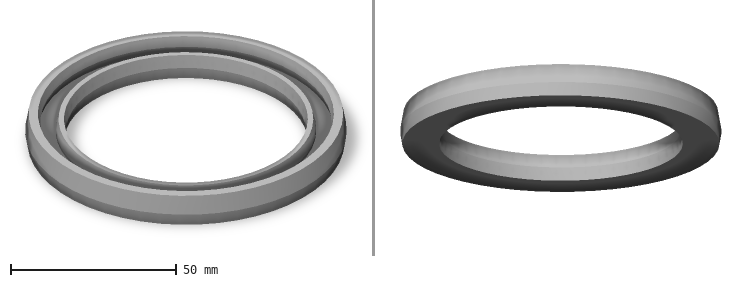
import cadquery as cq

height = 10.0
inner_lip_height = 8.2
edge_height = 4.0
groove_ridge_height = 6.6
floor_height = 3.9
inner_lip_base_height = 4.8

rim_radius = 97.3 / 2
rim_top_radius = 47.6
rim_bottom_radius = 48.0

groove_top_radius = 44.8
groove_ridge_radius = 44.1
groove_floor_radius = 44.8
inner_lip_base_radius = 78.8 / 2
inner_lip_top_radius = 38.5

bore_top_radius = 36.9
bore_ridge_radius = 36.2
bore_bottom_radius = 36.9

section = [
    (bore_bottom_radius, 0),
    (rim_bottom_radius, 0),
    (rim_radius, edge_height),
    (rim_top_radius, height),
    (groove_top_radius, height),
    (groove_ridge_radius, groove_ridge_height),
    (groove_floor_radius, floor_height),
    (inner_lip_base_radius, floor_height),
    (inner_lip_base_radius, inner_lip_base_height),
    (inner_lip_top_radius, inner_lip_height),
    (bore_top_radius, inner_lip_height),
    (bore_ridge_radius, edge_height),
]

result = cq.Workplane("XZ").polyline(section).close().revolve(360, (0, 0), (0, 1))